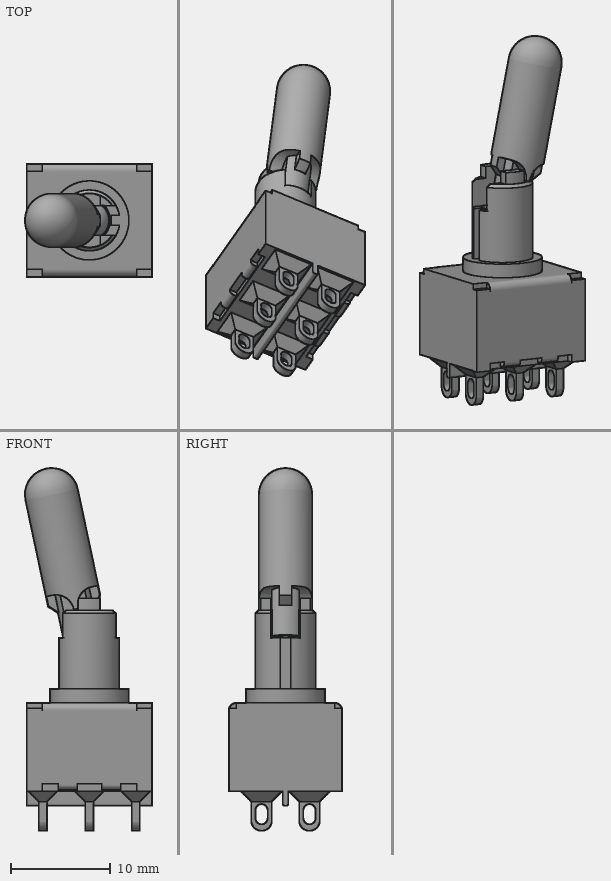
import cadquery as cq
import math

case_x = 12.7
case_y = 11.45
case_z = 8.95
frame_thickness = 0.77
bend_length = 9.53
corner_step = 0.55
lower_notch_height = 0.77
tab_width = 1.9
tab_spacing = 4.4
tab_height = 0.6
tab_bend_radius = 0.48

barrier_thickness = 0.6
barrier_depth = 1.45
barrier_edge_radius = 0.22

terminal_pitch_x = 4.7
terminal_pitch_y = 4.85
terminal_thickness = 0.85
terminal_width = 2.1
terminal_length = 4.0
terminal_tip_rise = 0.88
eyelet_width = 1.2
eyelet_length = 2.0
eyelet_depth = 2.3
seal_height = 1.03

flange_diameter = 8.0
flange_height = 1.4
bushing_diameter = 6.15
bushing_height = 7.95
bushing_chamfer = 0.33
bore_diameter = 4.2
bore_floor_rise = 0.75
slot_width = 2.97
slot_depth = 2.8
keyway_width = 1.03
keyway_floor_x = 2.25
guide_length = 2.2
guide_height = 1.2

flange_top = case_z + flange_height
bushing_top = flange_top + bushing_height

lever_diameter = 5.43
lever_tilt = 12.0
lever_reach = 18.33
shaft_diameter = 3.75
shaft_width = 2.75
shaft_end = 3.5
neck_diameter = 2.55
rib_width = 1.25
skirt_end = 6.53
rib_chamfer = (lever_diameter - shaft_diameter) / 2
arch_radius = 1.85
arch_top = 8.4
tongue_width = 0.45

lever_radius = lever_diameter / 2
overall_height = 36.65
dome_rise = lever_reach * math.cos(math.radians(lever_tilt)) + lever_radius
pivot_z = overall_height - terminal_length - dome_rise
bore_floor = pivot_z + bore_floor_rise


def block(size_x, size_y, z_low, z_high, x=0.0, y=0.0):
    """Upright box centred on (x, y) between two heights."""
    return cq.Workplane("XY", origin=(x, y, z_low)).rect(size_x, size_y).extrude(z_high - z_low)


def cylinder(diameter, z_low, z_high):
    """Upright cylinder on the Z axis between two heights."""
    return cq.Workplane("XY", origin=(0, 0, z_low)).circle(diameter / 2).extrude(z_high - z_low)


def make_case():
    body = block(case_x, case_y - 2 * frame_thickness, 0, case_z)
    frame = block(case_x, case_y, 0, case_z - corner_step)
    bend = block(bend_length, case_y, case_z - 2 * frame_thickness, case_z)
    bend = bend.edges("|X and >Z").fillet(frame_thickness)
    frame = frame.cut(block(bend_length, case_y, case_z - frame_thickness, case_z))
    frame = frame.cut(block(bend_length, case_y, 0, lower_notch_height))
    case = body.union(frame).union(bend)

    tab_low = lower_notch_height - tab_height
    for x in (-tab_spacing / 2, tab_spacing / 2):
        tab = block(tab_width, case_y, tab_low, lower_notch_height, x)
        case = case.union(tab.edges("|X and <Z").fillet(tab_bend_radius))
    return case


def make_barrier():
    barrier = block(case_x, barrier_thickness, -barrier_depth, 0)
    return barrier.edges("|X and <Z").fillet(barrier_edge_radius)


def make_terminal():
    half_width = terminal_width / 2
    arc_start = terminal_tip_rise - terminal_length
    blade = (
        cq.Workplane("YZ")
        .moveTo(-half_width, 0)
        .lineTo(-half_width, arc_start)
        .threePointArc((0, -terminal_length), (half_width, arc_start))
        .lineTo(half_width, 0)
        .close()
        .extrude(terminal_thickness / 2, both=True)
    )
    eyelet = (
        cq.Workplane("YZ")
        .center(0, -eyelet_depth)
        .slot2D(eyelet_length, eyelet_width, 90)
        .extrude(terminal_thickness, both=True)
    )
    seal = (
        cq.Workplane("XY", origin=(0, 0, -seal_height))
        .rect(terminal_thickness, terminal_width)
        .workplane(offset=seal_height)
        .rect(terminal_thickness + 2 * seal_height, terminal_width + 2 * seal_height)
        .loft()
    )
    return blade.cut(eyelet).union(seal)


def make_bushing():
    flange = cylinder(flange_diameter, case_z, flange_top)
    barrel = cylinder(bushing_diameter, flange_top, bushing_top)
    barrel = barrel.faces(">Z").chamfer(bushing_chamfer)

    guides_top = bushing_top + guide_height
    guides = cylinder(lever_diameter, bushing_top - bushing_chamfer, guides_top)
    guides = guides.intersect(block(guide_length, lever_diameter, flange_top, guides_top))

    slot = block(bushing_diameter, slot_width, bushing_top - slot_depth, guides_top)
    bore = cylinder(bore_diameter, bore_floor, bushing_top - slot_depth)
    keyway_depth = bushing_diameter / 2 - keyway_floor_x
    keyway_x = keyway_floor_x + keyway_depth / 2
    keyway = block(keyway_depth, keyway_width, flange_top, guides_top, keyway_x)
    return barrel.union(guides).cut(slot).cut(bore).union(flange).cut(keyway)


def make_arch_relief():
    """Space cut from both sides of the skirt, open at its lower end."""
    relief_width = lever_radius
    relief_x = (tongue_width + relief_width) / 2
    one_side = block(relief_width, lever_diameter, 0, arch_top, relief_x)
    one_side = one_side.edges("|Y and >Z and <X").fillet(arch_radius)
    return one_side.union(one_side.mirror("YZ"))


def make_lever():
    """Lever built upright on its pivot, then tilted toward -X and set in the bushing."""
    skirt = cylinder(lever_diameter, skirt_end, lever_reach)
    grip = skirt.cut(make_arch_relief())
    rib = skirt.faces("<Z").chamfer(rib_chamfer)
    rib = rib.intersect(block(lever_diameter, rib_width, skirt_end, lever_reach))

    shaft = cylinder(shaft_diameter, shaft_end, lever_reach)
    shaft = shaft.intersect(block(shaft_diameter, shaft_width, shaft_end, lever_reach))
    neck = cylinder(neck_diameter, 0, lever_reach)
    ball = cq.Workplane("XY").sphere(bore_diameter / 2)
    dome = cq.Workplane("XY", origin=(0, 0, lever_reach)).sphere(lever_radius)
    lever = grip.union(rib).union(shaft).union(dome).union(neck).union(ball)
    return lever.rotate((0, 0, 0), (0, 1, 0), -lever_tilt).translate((0, 0, pivot_z))


result = make_case().union(make_barrier()).union(make_bushing()).union(make_lever())

terminal = make_terminal()
for column in (-1, 0, 1):
    for row in (-0.5, 0.5):
        result = result.union(terminal.translate((column * terminal_pitch_x, row * terminal_pitch_y, 0)))